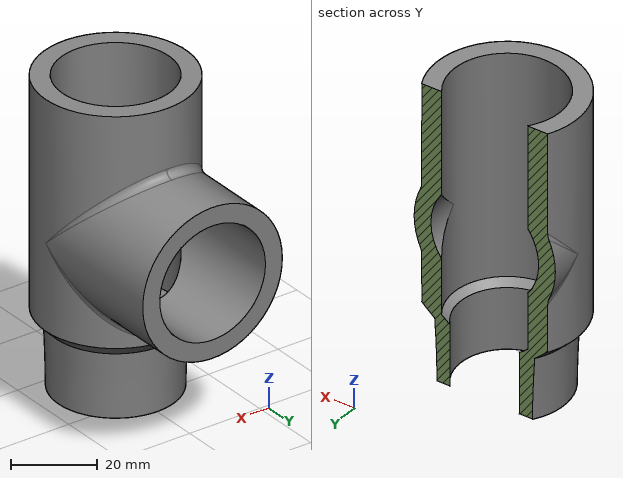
import cadquery as cq

total_height = 82.0
body_diameter = 40.0
body_radius = body_diameter / 2
body_depth = 58.0
branch_length = body_depth - body_radius
branch_height = 43.95

spigot_length = 17.4
spigot_end_radius = 32.55 / 2
spigot_neck_radius = 33.6 / 2
shoulder_height = body_radius - spigot_neck_radius
shoulder_top = spigot_length + shoulder_height

main_bore_radius = 30.25 / 2
spigot_bore_radius = 26.6 / 2
bore_taper_height = main_bore_radius - spigot_bore_radius

crotch_radius = 2.0


def make_run():
    """Outer solid of the run, shoulder and spigot, revolved about Z."""
    return (
        cq.Workplane("XZ")
        .lineTo(spigot_end_radius, 0)
        .lineTo(spigot_neck_radius, spigot_length)
        .lineTo(body_radius, shoulder_top)
        .lineTo(body_radius, total_height)
        .lineTo(0, total_height)
        .close()
        .revolve(360, (0, 0), (0, 1))
    )


def make_branch(radius):
    """Cylinder from the run axis out to the branch face."""
    return (
        cq.Workplane("XZ")
        .circle(radius)
        .extrude(-branch_length)
        .rotate((0, 0, 0), (0, 1, 0), -90)
        .translate((0, 0, branch_height))
    )


def make_filleted_junction():
    """Short tee with the crotch rounded; the fillet fades out at both sides."""
    junction_half_height = body_radius + crotch_radius
    middle = cq.Workplane("XY", origin=(0, 0, branch_height))
    run_half = middle.circle(body_radius).extrude(total_height - branch_height)
    quarter_space = middle.box(body_depth, 2 * body_depth, total_height, centered=(False, True, False))
    quarter = run_half.union(make_branch(body_radius)).intersect(quarter_space)
    quarter = quarter.edges("%ELLIPSE").fillet(crotch_radius)
    trim = middle.box(body_depth, 2 * body_depth, junction_half_height, centered=(False, True, False))
    quarter = quarter.intersect(trim)
    upper_half = quarter.union(quarter.mirror("YZ"))
    return upper_half.union(upper_half.mirror("XY", (0, 0, branch_height)))


def make_run_bore():
    """Wide bore that narrows through a cone into the spigot bore."""
    return (
        cq.Workplane("XZ")
        .lineTo(spigot_bore_radius, 0)
        .lineTo(spigot_bore_radius, spigot_length)
        .lineTo(main_bore_radius, spigot_length + bore_taper_height)
        .lineTo(main_bore_radius, total_height)
        .lineTo(0, total_height)
        .close()
        .revolve(360, (0, 0), (0, 1))
    )


outside = make_run().union(make_filleted_junction())
result = outside.cut(make_run_bore()).cut(make_branch(main_bore_radius))